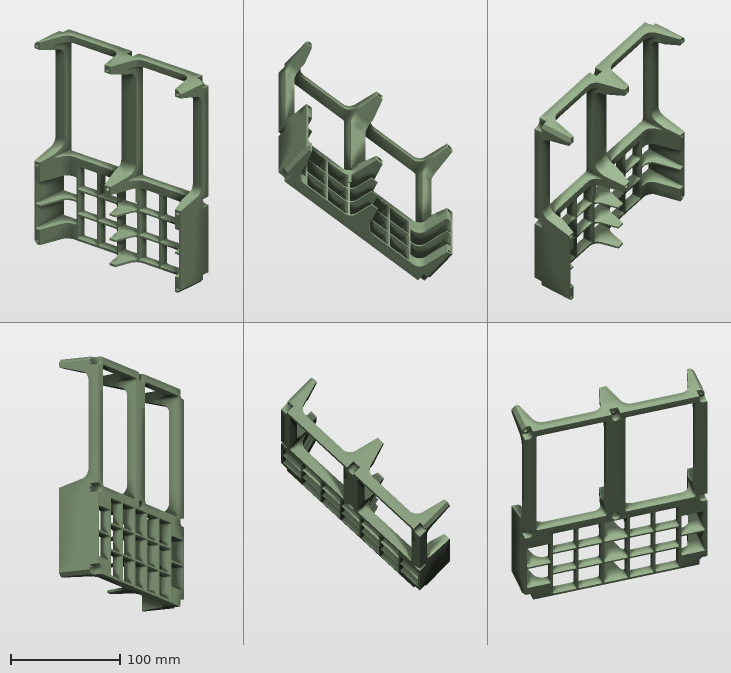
import cadquery as cq
import math

WIDTH = 175.2
DEPTH = 39.8
HEIGHT = 203.2
CORNER_CHAMFER = 3.5

WEB_THICKNESS = 9.8
LEG_SLOPE = math.radians(15)
SIDE_ARCH_RADIUS = 9.5
UPPER_ARCH_RADIUS = 9.0
SIDE_LEG_TIP = 6.7
CENTRE_LEG_TIP = 7.1
UPPER_LEG_TIP = 7.5

WINDOW_BOTTOM = 82.7
WINDOW_TOP = 196.5
SIDE_POST_WIDTH = 10.8
CENTRE_POST_WIDTH = 17.5
WINDOW_CORNER_RADIUS = 2.0

KEY_SIZE = 23.0
KEY_GAP = 1.73
KEY_CORNER_RADIUS = 1.2
KEY_COLUMNS = 5
KEY_ROWS = 3
KEY_MARGIN = 2.2
SIDE_KEY_ROWS = 2
SIDE_KEY_BOTTOM = 15.5

CENTRE_RECESS_DEPTH = 7.1
CENTRE_RECESS_TOP = 60.5

HOLE_DIAMETER = 4.0
HEAD_DIAMETER = 8.3
HEAD_DEPTH = 8.3
HOLE_SIDE_INSET = 3.5
HOLE_END_INSET = 4.0
MIDDLE_HOLE_Z = 79.9

KEY_PITCH = KEY_SIZE + KEY_GAP
SIDE_ARCH_END = WIDTH / 2 - SIDE_LEG_TIP
HOLE_X = WIDTH / 2 - HOLE_SIDE_INSET
TOP_HOLE_Z = HEIGHT - HOLE_END_INSET


def box(x_range, y_range, z_range):
    """Axis-aligned block between pairs of limits."""
    size = [high - low for low, high in (x_range, y_range, z_range)]
    corner = (x_range[0], y_range[0], z_range[0])
    return cq.Workplane("XY").box(*size, centered=False).translate(corner)


def arch(plane, start, end, tip_y, radius, length):
    """Clearance between two legs: sloped flanks blended into a flat top by arcs."""
    top_y = DEPTH - WEB_THICKNESS
    blend_y = top_y - radius * (1 - math.sin(LEG_SLOPE))
    blend_in = (blend_y - tip_y) * math.tan(LEG_SLOPE)
    flat_in = blend_in + radius * math.cos(LEG_SLOPE)
    mid_angle = (math.pi / 2 + LEG_SLOPE) / 2
    mid_in = flat_in - radius * math.cos(mid_angle)
    mid_y = top_y - radius * (1 - math.sin(mid_angle))
    outline = (
        cq.Workplane(plane)
        .moveTo(start, tip_y)
        .lineTo(start + blend_in, blend_y)
        .threePointArc((start + mid_in, mid_y), (start + flat_in, top_y))
        .lineTo(end - flat_in, top_y)
        .threePointArc((end - mid_in, mid_y), (end - blend_in, blend_y))
        .lineTo(end, tip_y)
        .close()
    )
    return outline.extrude(length)


def mirrored(shape):
    """A shape together with its mirror image across the centre plane."""
    return shape.union(shape.mirror("YZ"))


def rounded_opening(x_centre, z_centre, width, height, radius):
    """Rectangular opening through the full depth with rounded corners."""
    block = cq.Workplane("XY").box(width, DEPTH, height)
    return block.edges("|Y").fillet(radius).translate((x_centre, DEPTH / 2, z_centre))


def window(side):
    """Large opening beside the centre post; side is -1 or 1."""
    inner = CENTRE_POST_WIDTH / 2
    outer = WIDTH / 2 - SIDE_POST_WIDTH
    return rounded_opening(
        side * (inner + outer) / 2,
        (WINDOW_BOTTOM + WINDOW_TOP) / 2,
        outer - inner,
        WINDOW_TOP - WINDOW_BOTTOM,
        WINDOW_CORNER_RADIUS,
    )


def key_opening(column, bottom, row):
    """Key opening; columns count from the centre, rows from the given bottom height."""
    z_centre = bottom + KEY_SIZE / 2 + row * KEY_PITCH
    return rounded_opening(column * KEY_PITCH, z_centre, KEY_SIZE, KEY_SIZE, KEY_CORNER_RADIUS)


def screw_hole(x, z):
    """Through hole with a round head pocket in the back face."""
    hole = cq.Workplane("XZ", origin=(x, 0, z)).circle(HOLE_DIAMETER / 2).extrude(-DEPTH)
    head = (
        cq.Workplane("XZ", origin=(x, DEPTH, z)).circle(HEAD_DIAMETER / 2).extrude(HEAD_DEPTH)
    )
    return hole.union(head)


def outlet(x, z, x_side, z_side):
    """Block from a head pocket's axis out past one edge; one of the sides is 0, the other -1 or 1."""
    radius = HEAD_DIAMETER / 2
    reach = HOLE_SIDE_INSET + HOLE_END_INSET
    x_range = sorted((x, x + x_side * reach)) if x_side else (x - radius, x + radius)
    z_range = sorted((z, z + z_side * reach)) if z_side else (z - radius, z + radius)
    return box(x_range, (DEPTH - HEAD_DEPTH, DEPTH), z_range)


part = box((-WIDTH / 2, WIDTH / 2), (0, DEPTH), (0, HEIGHT))
part = part.edges("|Y").chamfer(CORNER_CHAMFER)
side_arch = arch("XY", CENTRE_LEG_TIP / 2, SIDE_ARCH_END, 0, SIDE_ARCH_RADIUS, HEIGHT)
part = part.cut(mirrored(side_arch))
upper_arch = arch("ZY", WINDOW_BOTTOM, HEIGHT - UPPER_LEG_TIP, 0, UPPER_ARCH_RADIUS, WIDTH)
part = part.cut(upper_arch.translate((WIDTH / 2, 0, 0)))

short_leg_arch = arch(
    "XY",
    CENTRE_LEG_TIP / 2,
    SIDE_ARCH_END,
    CENTRE_RECESS_DEPTH,
    SIDE_ARCH_RADIUS,
    CENTRE_RECESS_TOP,
)
recess_reach = WIDTH / 4
recess_x = (-recess_reach, recess_reach)
recess_z = (0, CENTRE_RECESS_TOP)
recess_zone = box(recess_x, (0, DEPTH), recess_z)
tip_cut = box(recess_x, (0, CENTRE_RECESS_DEPTH), recess_z)
part = part.cut(mirrored(short_leg_arch).intersect(recess_zone))
part = part.cut(tip_cut)

for side in (-1, 1):
    part = part.cut(window(side))

last_column = (KEY_COLUMNS - 1) // 2
for column in range(-last_column, last_column + 1):
    for row in range(KEY_ROWS):
        part = part.cut(key_opening(column, KEY_MARGIN, row))
for column in (-last_column - 1, last_column + 1):
    for row in range(SIDE_KEY_ROWS):
        part = part.cut(key_opening(column, SIDE_KEY_BOTTOM, row))

for x_side in (-1, 0, 1):
    for z, z_side in ((HOLE_END_INSET, -1), (MIDDLE_HOLE_Z, 0), (TOP_HOLE_Z, 1)):
        if x_side == 0 and z_side == -1:
            continue
        x = x_side * HOLE_X
        part = part.cut(screw_hole(x, z))
        if x_side:
            part = part.cut(outlet(x, z, x_side, 0))
        if z_side:
            part = part.cut(outlet(x, z, 0, z_side))

result = part